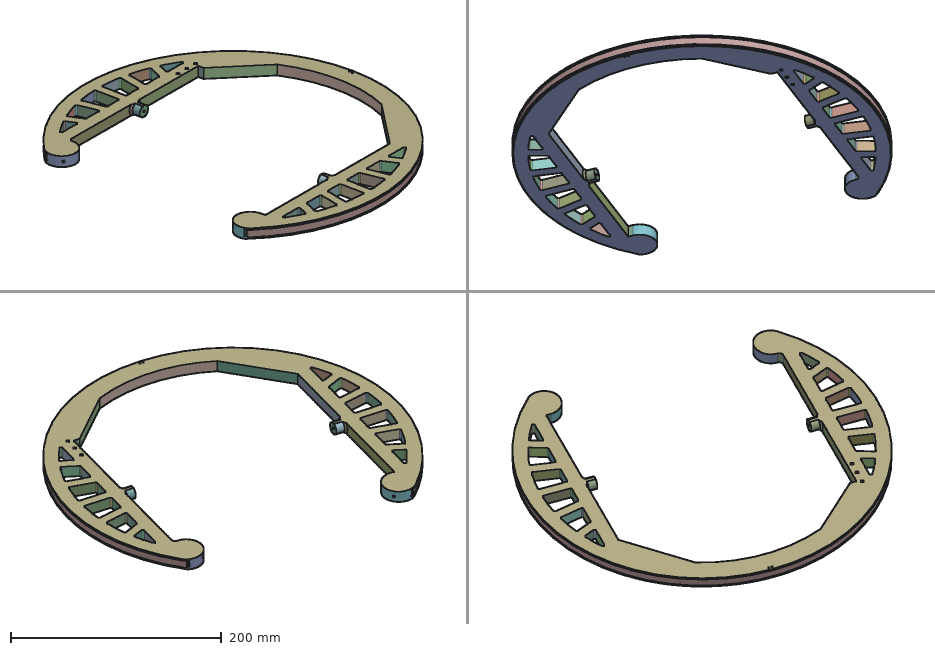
import cadquery as cq
import math

thickness = 12.0
plate_radius = 180.0
inner_radius = 158.0
arm_inner_x = 120.0
diagonal_sum = 208.4
step_y = 95.0
root_fillet = 4.0

end_radius = 16.75
end_offset = (plate_radius - end_radius) / math.sqrt(2)
end_top = end_radius - end_offset

groove_bottom = 2.0
groove_top = 10.0
groove_depth = 0.5
rim_chamfer = 1.0

slit_width = 2.1
slit_bottom = 3.0
slit_depth = 5.0
slit_direction = 225.0
slit_shift = 6.2

window_outer_radius = 165.0
window_inner_x = 135.0
rib_width = 10.0
rib_pitch = 12.1
rib_steps = 2
window_fillet = 1.5

peg_radius = 6.25
peg_length = 11.0
peg_flare = 2.0
peg_hole_diameter = 2.0
peg_hole_depth = 10.0

arm_hole_diameter = 3.0
arm_hole_x = -125.0
arm_hole_top_y = 97.0
arm_hole_pitch = 13.2
arm_hole_count = 3
rim_hole_diameter = 1.2
rim_hole_spacing = 3.5
rim_hole_y = 177.0
end_hole_diameter = 2.0
end_hole_depth = 10.0

mid_z = thickness / 2
SIDES = (-1, 1)


def plate():
    """C-shaped plate, open towards -Y, with a round end on each arm."""
    half_span = math.sqrt(2 * inner_radius**2 - diagonal_sum**2)
    corner_x = (diagonal_sum - half_span) / 2
    corner_y = diagonal_sum - corner_x
    tangent = plate_radius / math.sqrt(2)
    body = (
        cq.Workplane("XY")
        .moveTo(-tangent, -tangent)
        .threePointArc((0, plate_radius), (tangent, -tangent))
        .lineTo(end_offset, -end_offset)
        .lineTo(end_offset, end_top)
        .lineTo(arm_inner_x, end_top)
        .lineTo(arm_inner_x, diagonal_sum - arm_inner_x)
        .lineTo(corner_x, corner_y)
        .threePointArc((0, inner_radius), (-corner_x, corner_y))
        .lineTo(step_y - diagonal_sum, step_y)
        .lineTo(-arm_inner_x, step_y)
        .lineTo(-arm_inner_x, end_top)
        .lineTo(-end_offset, end_top)
        .lineTo(-end_offset, -end_offset)
        .close()
        .extrude(thickness)
    )
    left_root = cq.selectors.NearestToPointSelector((-arm_inner_x, end_top, mid_z))
    body = body.edges(left_root).fillet(root_fillet)
    for side in SIDES:
        end = cq.Workplane("XY").center(side * end_offset, -end_offset).circle(end_radius)
        body = body.union(end.extrude(thickness))
    return body


def rim_cutter():
    """Ring removing the rim groove and the lower rim chamfer; it runs out on the round ends."""
    beyond = plate_radius + rim_chamfer
    groove_floor = plate_radius - groove_depth
    groove = (
        cq.Workplane("XZ")
        .moveTo(groove_floor, groove_bottom)
        .lineTo(beyond, groove_bottom)
        .lineTo(beyond, groove_top)
        .lineTo(groove_floor, groove_top)
        .close()
        .revolve(360, (0, 0, 0), (0, 1, 0))
    )
    chamfer = (
        cq.Workplane("XZ")
        .moveTo(plate_radius - rim_chamfer, 0)
        .lineTo(beyond, 0)
        .lineTo(beyond, 2 * rim_chamfer)
        .close()
        .revolve(360, (0, 0, 0), (0, 1, 0))
    )
    return groove.union(chamfer)


def slit():
    """Slit in the left round end, opening towards (-X, -Y)."""
    surface = math.sqrt(end_radius**2 - slit_shift**2)
    height = groove_top - slit_bottom
    return (
        cq.Workplane("XY")
        .box(2 * slit_depth, slit_width, height, centered=(True, True, False))
        .translate((surface, slit_shift, slit_bottom))
        .rotate((0, 0, 0), (0, 0, 1), slit_direction)
        .translate((-end_offset, -end_offset, 0))
    )


def windows():
    """Openings between the radial ribs, for both arms."""
    sector = cq.Workplane("XY").circle(window_outer_radius).extrude(thickness)
    core = cq.Workplane("XY").rect(2 * window_inner_x, 2 * window_outer_radius).extrude(thickness)
    openings = sector.cut(core)
    rib = cq.Workplane("XY").rect(2 * plate_radius, rib_width).extrude(thickness)
    for step in range(-rib_steps, rib_steps + 1):
        openings = openings.cut(rib.rotate((0, 0, 0), (0, 0, 1), step * rib_pitch))
    return openings.edges("|Z").fillet(window_fillet)


def peg():
    """Peg on the right arm pointing to -X, flared at its root and trimmed to the plate thickness."""
    tip_x = arm_inner_x - peg_length
    flare_x = arm_inner_x - peg_flare
    root_x = arm_inner_x + peg_flare
    root_radius = peg_radius + peg_flare
    turned = (
        cq.Workplane("XY")
        .moveTo(tip_x, 0)
        .lineTo(tip_x, peg_radius)
        .lineTo(flare_x, peg_radius)
        .lineTo(arm_inner_x, root_radius)
        .lineTo(root_x, root_radius)
        .lineTo(root_x, 0)
        .close()
        .revolve(360, (0, 0, 0), (1, 0, 0))
    )
    slab = cq.Workplane("XY").box(2 * plate_radius, 4 * peg_radius, thickness)
    return turned.intersect(slab).translate((0, 0, mid_z))


def drill(start, direction, diameter, depth):
    """Cylinder that removes a round hole beginning at start."""
    bore = cq.Solid.makeCylinder(diameter / 2, depth, cq.Vector(*start), cq.Vector(*direction))
    return cq.Workplane(bore)


left_slit = slit()
right_peg = peg()
result = plate().cut(windows()).cut(rim_cutter())
result = result.cut(left_slit).cut(left_slit.mirror("YZ"))
result = result.union(right_peg).union(right_peg.mirror("YZ"))

end_reach = end_radius / math.sqrt(2)
for side in SIDES:
    peg_tip = (side * (arm_inner_x - peg_length), 0, mid_z)
    result = result.cut(drill(peg_tip, (side, 0, 0), peg_hole_diameter, peg_hole_depth))
    end_face = (side * (end_offset - end_reach), -end_offset - end_reach, mid_z)
    result = result.cut(drill(end_face, (side, 1, 0), end_hole_diameter, end_hole_depth))
    rim_hole = (side * rim_hole_spacing / 2, rim_hole_y, 0)
    result = result.cut(drill(rim_hole, (0, 0, 1), rim_hole_diameter, thickness))

for index in range(arm_hole_count):
    arm_hole = (arm_hole_x, arm_hole_top_y - index * arm_hole_pitch, 0)
    result = result.cut(drill(arm_hole, (0, 0, 1), arm_hole_diameter, thickness))